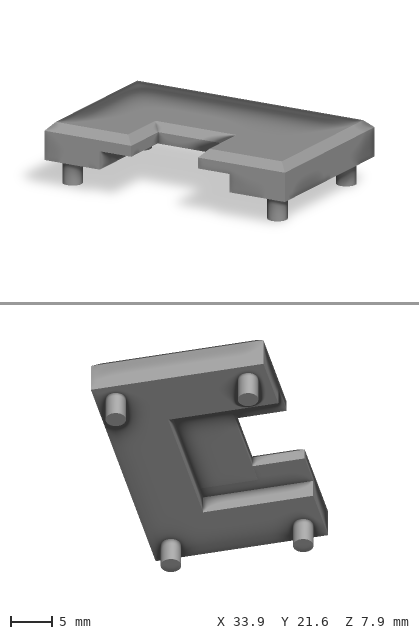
import cadquery as cq

length = 33.92
width = 21.57
total_height = 7.9
body_height = 4.75
chamfer = 1.02

notch_length = 9.43
notch_width = 6.5

pocket_length = 18.3
pocket_depth = 2.35
pocket_border = (length - pocket_length) / 2
pocket_width = width - pocket_border

pad_length = 14.65
pad_width = pocket_width - notch_width
pad_thickness = 0.07

pin_diameter = 2.5
pin_inset = 2.5
pin_height = total_height - body_height

front_y = -width / 2


def front_block(block_length, block_width, block_height):
    """Block standing on Z = 0, centred on X and reaching back from the front edge."""
    block = cq.Workplane("XY").box(block_length, block_width, block_height, centered=(True, False, False))
    return block.translate((0, front_y, 0))


plate = cq.Workplane("XY").box(length, width, body_height, centered=(True, True, False))
plate = plate.cut(front_block(notch_length, notch_width, body_height))
plate = plate.faces(">Z").edges().chamfer(chamfer)

plate = plate.cut(front_block(pocket_length, pocket_width, pocket_depth))

pad = cq.Workplane("XY").box(pad_length, pad_width, pad_thickness, centered=(True, False, False))
pad = pad.translate((0, front_y + notch_width, pocket_depth - pad_thickness))
plate = plate.union(pad)

pins = (
    cq.Workplane("XY")
    .rect(length - 2 * pin_inset, width - 2 * pin_inset, forConstruction=True)
    .vertices()
    .circle(pin_diameter / 2)
    .extrude(-pin_height)
)

result = plate.union(pins)